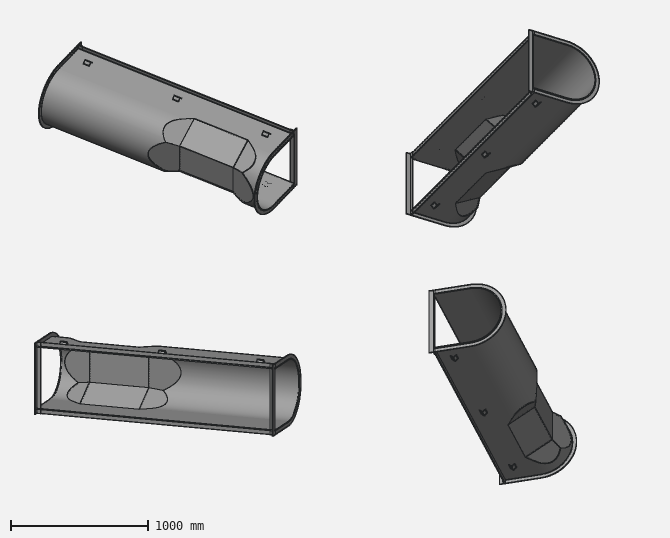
import cadquery as cq
import math

length = 1855.0
outer_radius = 267.0
flange_width = 30.0
plate = 8.0
sheet = 8.5
depth = 585.0
shell_radius = outer_radius - flange_width
back_y = depth - outer_radius
post_leg = flange_width + plate
post_leg_plate = 5.0
shell_back_y = back_y - post_leg
rail_front_y = shell_back_y - plate

recess_center_x = 1370.0
recess_flat_length = 458.0
front_flat_distance = 158.0
side_flat_distance = 182.0
side_flat_angle = 60.0
ramp_angle = 19.8

first_lug_x = 154.0
lug_pitch = 764.0
lug_count = 3
lug_y = 169.0
lug_width = 50.0
lug_height = lug_width / 2
lug_sheet = 5.0


def mirror_end(body):
    """Copy of a body at the opposite end of the part."""
    return body.mirror("YZ", (length / 2, 0, 0))


def d_profile(radius, end_y):
    """Section of a straight-walled channel with a half-round front."""
    return (
        cq.Workplane("YZ")
        .moveTo(end_y, -radius)
        .lineTo(0, -radius)
        .threePointArc((-radius, 0), (0, radius))
        .lineTo(end_y, radius)
        .close()
    )


def recess_cut(distance, tilt, inset):
    """Material outside one flat and its two end ramps, moved inward by inset."""
    angle = math.radians(ramp_angle)
    bottom = distance - inset
    top = 2 * outer_radius
    half_bottom = recess_flat_length / 2 + inset * math.tan(angle / 2)
    half_top = half_bottom + (top - bottom) / math.tan(angle)
    return (
        cq.Workplane("XY")
        .polyline(
            [
                (recess_center_x - half_bottom, -bottom),
                (recess_center_x + half_bottom, -bottom),
                (recess_center_x + half_top, -top),
                (recess_center_x - half_top, -top),
            ]
        )
        .close()
        .extrude(2 * outer_radius, both=True)
        .rotate((0, 0, 0), (1, 0, 0), tilt)
    )


def recessed_core(inset):
    """Solid filling the channel up to a surface lying inset below its outside."""
    core = d_profile(shell_radius - inset, shell_back_y).extrude(length)
    core = core.cut(recess_cut(front_flat_distance, 0, inset))
    for tilt in (-side_flat_angle, side_flat_angle):
        core = core.cut(recess_cut(side_flat_distance, tilt, inset))
    return core


def make_shell():
    """Sheet channel with an open back and the recess in its round side."""
    return recessed_core(0).cut(recessed_core(sheet))


def make_end_flange():
    """Flat U-shaped rim around the -X end of the shell."""
    rim = d_profile(outer_radius, rail_front_y).extrude(plate)
    opening = d_profile(shell_radius, rail_front_y).extrude(plate)
    return rim.cut(opening)


def make_post():
    """Upright angle across the back of the -X end."""
    return (
        cq.Workplane("XY")
        .moveTo(0, back_y)
        .lineTo(plate, back_y)
        .lineTo(plate, shell_back_y + post_leg_plate)
        .lineTo(post_leg, shell_back_y + post_leg_plate)
        .lineTo(post_leg, shell_back_y)
        .lineTo(0, shell_back_y)
        .close()
        .extrude(outer_radius, both=True)
    )


def make_rail():
    """Flat bar along the outside of the upper wall's back edge."""
    return (
        cq.Workplane("XY")
        .box(length, plate, flange_width, centered=False)
        .translate((0, rail_front_y, shell_radius))
    )


def make_back_frame():
    """Rectangular frame of two rails and two posts behind the shell."""
    post = make_post()
    rail = make_rail()
    return post.union(rail).union(rail.mirror("XY")).union(mirror_end(post))


def make_lug(x):
    """Short angle standing on the upper wall with its ridge along X."""
    foot = lug_sheet * math.sqrt(2)
    half = lug_width / 2
    return (
        cq.Workplane("YZ")
        .polyline([(-half, 0), (0, lug_height), (half, 0), (half - foot, 0),
                   (0, lug_height - foot), (foot - half, 0)])
        .close()
        .extrude(lug_width / 2, both=True)
        .translate((x, lug_y, shell_radius))
    )


shell = make_shell()
end_flange = make_end_flange()
end_flanges = [end_flange, mirror_end(end_flange)]
back_frame = make_back_frame()
lugs = []
for i in range(lug_count):
    lug = make_lug(first_lug_x + i * lug_pitch)
    lugs += [lug, lug.mirror("XY")]

bodies = [shell, back_frame, *end_flanges, *lugs]
result = cq.Compound.makeCompound([body.val() for body in bodies])